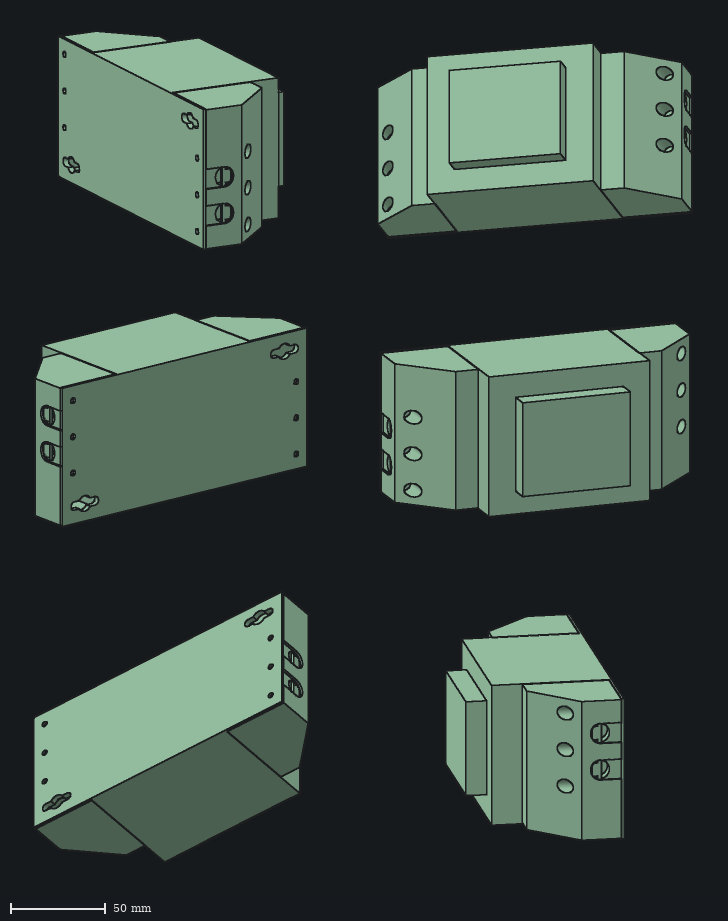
import cadquery as cq

length = 166.1
depth = 75.7
height = 77.0

plate_end_inset = 0.2
plate_length = length - 2 * plate_end_inset
wing_inset = 0.3
wing_height = height - 2 * wing_inset
plate_thickness = 1.5
housing_length = 90.5
housing_depth = 64.6

cover_length = 60.6
cover_height = 51.7

wing_depth = 48.0
wing_bevel = 25.0

terminal_pitch = 20.1
top_screw_pitches = 1.5
top_entry_pitches = 1.0
terminal_count = 3
screw_inset = 7.5
screw_diameter = 7.3
screw_floor = 17.0
pilot_diameter = 3.0

entry_count = 2
entry_radius = 5.5
entry_center = 12.5
entry_recess = 1.3
bore_radius = 5.0
bore_center = 12.8
bore_depth = screw_inset
tongue_thickness = 1.7
tongue_start = 12.0
tongue_shoulder = 14.0

keyhole_x = 67.6
keyhole_z = 28.5
keyhole_diameter = 8.6
keyhole_slot_length = 18.6
keyhole_slot_width = 4.7
keyhole_depth = 3.3
chamber_height = 9.3
chamber_depth = 13.3


def block(size_x, size_z, start_y, end_y):
    """Box centred on X and Z between two Y levels."""
    box = cq.Workplane("XY").box(size_x, end_y - start_y, size_z, centered=(True, False, True))
    return box.translate((0, start_y, 0))


def rod_along_y(x, z, diameter, start_y, end_y):
    """Round tool running along +Y."""
    rod = cq.Solid.makeCylinder(
        diameter / 2, end_y - start_y, cq.Vector(x, start_y, z), cq.Vector(0, 1, 0)
    )
    return cq.Workplane(rod)


def levels_down(top_pitches, count):
    """Heights one pitch apart, starting the given number of pitches above the middle."""
    return [(top_pitches - i) * terminal_pitch for i in range(count)]


def left_wing():
    """Bevelled wing with its screw holes and wire entries."""
    outer = -length / 2
    inner = -housing_length / 2
    wing = (
        cq.Workplane("XY", origin=(0, 0, -wing_height / 2))
        .moveTo(outer, plate_thickness)
        .lineTo(outer, wing_depth - wing_bevel)
        .lineTo(outer + wing_bevel, wing_depth)
        .lineTo(inner, wing_depth)
        .lineTo(inner, plate_thickness)
        .close()
        .extrude(wing_height)
    )
    for z in levels_down(top_screw_pitches, terminal_count):
        wing = wing.cut(rod_along_y(outer + screw_inset, z, screw_diameter, screw_floor, wing_depth))
    for z in levels_down(top_entry_pitches, entry_count):
        wing = wing.cut(wire_entry(outer, z))
    return wing


def wire_entry(outer, z):
    """Shallow round-ended recess over a bore that is partly closed by a T-shaped clamp tongue."""
    recess_round = rod_along_x(0, entry_recess, entry_center, entry_radius)
    recess = slab(0, entry_recess, 2 * entry_radius, plate_thickness, entry_center).union(recess_round)
    tongue_back = entry_recess + tongue_thickness
    tongue_bar = slab(entry_recess, tongue_back, 2 * entry_radius, tongue_start, tongue_shoulder)
    tongue_stem = slab(entry_recess, tongue_back, screw_diameter, tongue_start, screw_floor)
    bore = rod_along_x(0, bore_depth, bore_center, bore_radius).cut(tongue_bar).cut(tongue_stem)
    return recess.union(bore).translate((outer, 0, z))


def slab(start_x, end_x, size_z, start_y, end_y):
    """Box between two X levels and two Y levels, centred on Z."""
    return block(end_x - start_x, size_z, start_y, end_y).translate(((start_x + end_x) / 2, 0, 0))


def rod_along_x(start_x, end_x, center_y, radius):
    """Round tool running along +X."""
    return cq.Workplane("YZ", origin=(start_x, center_y, 0)).circle(radius).extrude(end_x - start_x)


def left_plate_holes():
    """Small holes in line with the left terminals, and the lower keyhole."""
    tools = (
        cq.Workplane("XZ", origin=(-keyhole_x, 0, -keyhole_z))
        .slot2D(keyhole_slot_length, keyhole_slot_width)
        .extrude(-keyhole_depth)
    )
    tools = tools.union(rod_along_y(-keyhole_x, -keyhole_z, keyhole_diameter, 0, keyhole_depth))
    for z in levels_down(top_screw_pitches, terminal_count):
        x = -length / 2 + screw_inset
        tools = tools.union(rod_along_y(x, z, pilot_diameter, 0, plate_thickness))
    return tools


def keyhole_chamber():
    """Hollow inside the left wing behind its keyhole."""
    chamber = block(keyhole_slot_length, chamber_height, keyhole_depth, keyhole_depth + chamber_depth)
    return chamber.translate((-keyhole_x, 0, -keyhole_z))


def half_turn(shape):
    """The same shape turned half a turn about the Y axis."""
    return shape.rotate((0, 0, 0), (0, 1, 0), 180)


plate = block(plate_length, height, 0, plate_thickness)
housing = block(housing_length, height, 0, housing_depth)
cover = block(cover_length, cover_height, housing_depth, depth)
wing = left_wing()
holes = left_plate_holes()

result = plate.union(housing).union(cover).union(wing).union(half_turn(wing))
result = result.cut(holes).cut(half_turn(holes)).cut(keyhole_chamber())